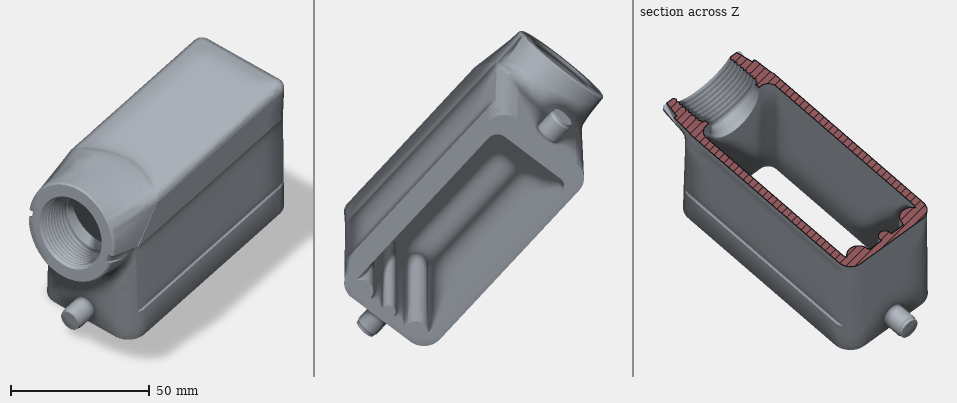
import cadquery as cq
import math

FOOT = (0.0, 43.0, 93.5, 7.5, 7.6)
WAIST = (46.3, 41.3, 91.9, 7.2, 5.8)
UPPER_BASE = (46.3, 41.3, 91.9, 3.6, 5.8)
ROOF = (62.5, 40.7, 91.5, 3.6, 3.6)
WAIST_HEIGHT, WAIST_WIDTH, WAIST_LENGTH = WAIST[:3]
BODY_HEIGHT, ROOF_WIDTH = ROOF[:2]
BODY_WIDTH, BODY_LENGTH = FOOT[1:3]
ROOF_FILLET = 2.9

RECESS_BOTTOM = 13.3
RECESS_LEDGE = 0.7
RECESS_TOP = WAIST_HEIGHT
RECESS_BOTTOM_HALF = 20.6
RECESS_TOP_HALF = 19.8

TILT = 15.0
COLLAR_RADIUS = 19.3
MOUTH_Y = -55.2
MOUTH_Z = 50.9
COLLAR_BACK = 25.5
LIP_CHAMFER = 0.6
BLEND_RADIUS = 5.8

SHOULDER_TOP_Y = -28.2
SHOULDER_BOTTOM_Y = -42.0
DOME_RISE = 1.4
DOME_RUN = 9.3
CORNER_START_ANGLE = 30.0
CORNER_END_ANGLE = 43.5

FLAT_FACE_HALF = 17.4
FLAT_START_HALF = 19.8
FLAT_FACE_HEIGHT = 3.4
FLAT_START_HEIGHT = 5.8

BORE_DIAMETER = 24.8
BORE_DEPTH = 31.3
THREAD_MINOR = 26.7
THREAD_MAJOR = 28.2
THREAD_PITCH = 1.6
THREAD_TURNS = 8
THREAD_LEAD_IN = 1.0
THREAD_DEPTH = 14.8

WALL = 3.5
FRONT_WALL = 7.5
CAVITY_HEIGHT = 55.1
CAVITY_RADIUS = 4.0
RIB_DIAMETER = 5.0
COLUMN_DIAMETER = 8.8
COLUMN_X = 13.0
POCKET_WIDTH = 16.4
POCKET_HEIGHT = 54.4
POCKET_DEPTH = 0.7

PIN_DIAMETER = 8.8
PIN_TIP_DIAMETER = 8.0
PIN_SPAN = 111.4
PIN_TIP_LENGTH = 0.9
PIN_CONE_LENGTH = 0.7
PIN_Z = 6.4

CLEARANCE = 1.2

tilt_sin = math.sin(math.radians(TILT))
tilt_cos = math.cos(math.radians(TILT))
mouth_plane = cq.Plane(
    origin=(0, MOUTH_Y, MOUTH_Z),
    xDir=(1, 0, 0),
    normal=(0, -tilt_cos, tilt_sin),
)

collar_section_plane = cq.Plane(
    origin=mouth_plane.origin.toTuple(),
    xDir=(1, 0, 0),
    normal=mouth_plane.yDir.multiply(-1).toTuple(),
)


def collar_point(angle):
    """Point on the rim of the collar mouth, angle measured up from +X."""
    x = COLLAR_RADIUS * math.cos(math.radians(angle))
    y = COLLAR_RADIUS * math.sin(math.radians(angle))
    return mouth_plane.toWorldCoords((x, y))


def shoulder_y(z):
    """Y of the slanted shoulder plane at a given height."""
    lean = (SHOULDER_TOP_Y - SHOULDER_BOTTOM_Y) / (BODY_HEIGHT - WAIST_HEIGHT)
    return SHOULDER_BOTTOM_Y + lean * (z - WAIST_HEIGHT)


def side_prism(points, half_width):
    """Prism with a (Y, Z) outline, running from -half_width to half_width in X."""
    return cq.Workplane("YZ").polyline(points).close().extrude(half_width, both=True)


def body_outline(height, width, length, front_radius, back_radius):
    """Edges of a rounded rectangle, in order around the body."""
    edges = []
    corners = [(1, 1, back_radius), (-1, 1, back_radius), (-1, -1, front_radius), (1, -1, front_radius)]
    for side, end, radius in corners:
        center = cq.Vector(side * (width / 2 - radius), end * (length / 2 - radius), height)
        on_side = center + cq.Vector(side * radius, 0, 0)
        on_end = center + cq.Vector(0, end * radius, 0)
        middle = center + cq.Vector(side, end, 0) * (radius * math.sqrt(0.5))
        first, last = (on_side, on_end) if side == end else (on_end, on_side)
        if edges:
            edges.append(cq.Edge.makeLine(edges[-1].endPoint(), first))
        edges.append(cq.Edge.makeThreePointArc(first, middle, last))
    edges.append(cq.Edge.makeLine(edges[-1].endPoint(), edges[0].startPoint()))
    return edges


def body_stage(lower_section, upper_section):
    """Tapered block between two body sections."""
    lower = body_outline(*lower_section)
    upper = body_outline(*upper_section)
    faces = [cq.Face.makeRuledSurface(low, high) for low, high in zip(lower, upper)]
    for outline in (lower, upper):
        faces.append(cq.Face.makeFromWires(cq.Wire.assembleEdges(outline)))
    return cq.Workplane(cq.Solid.makeSolid(cq.Shell.makeShell(faces)).fix())


def make_upper_body():
    """Body above the waist, its front end cleared for the collar shoulder."""
    upper = body_stage(UPPER_BASE, ROOF).faces(">Z").edges().fillet(ROOF_FILLET)
    above_roof_z = BODY_HEIGHT + CLEARANCE
    clear_y = -BODY_LENGTH
    outline = [
        (SHOULDER_BOTTOM_Y, WAIST_HEIGHT),
        (shoulder_y(above_roof_z), above_roof_z),
        (clear_y, above_roof_z),
        (clear_y, WAIST_HEIGHT),
    ]
    return upper.cut(side_prism(outline, BODY_WIDTH))


def cut_recesses(body):
    """Plane, slightly sloping recesses along both long sides."""
    outside = BODY_WIDTH
    ledge_foot = RECESS_BOTTOM - RECESS_LEDGE
    outline = [
        (RECESS_BOTTOM_HALF, RECESS_BOTTOM),
        (RECESS_BOTTOM_HALF + RECESS_LEDGE, ledge_foot),
        (outside, ledge_foot),
        (outside, RECESS_TOP),
        (RECESS_TOP_HALF, RECESS_TOP),
    ]
    recess = cq.Workplane("XZ").polyline(outline).close().extrude(BODY_LENGTH, both=True)
    return body.cut(recess).cut(recess.mirror("YZ"))


def make_lower_body():
    """Body below the waist with the lower half of the collar blended into its front wall."""
    tube = cq.Workplane(mouth_plane).circle(COLLAR_RADIUS).extrude(-COLLAR_BACK)
    upper_half = cq.Workplane(mouth_plane).center(0, COLLAR_RADIUS)
    upper_half = upper_half.rect(4 * COLLAR_RADIUS, 2 * COLLAR_RADIUS).extrude(-COLLAR_BACK)
    growth = BODY_HEIGHT / WAIST_HEIGHT
    extended_top = [low + (high - low) * growth for low, high in zip(FOOT, WAIST)]
    joined = body_stage(FOOT, extended_top).union(tube.cut(upper_half))
    front_zone = cq.selectors.BoxSelector(
        (-COLLAR_RADIUS, MOUTH_Y, RECESS_BOTTOM),
        (COLLAR_RADIUS, SHOULDER_BOTTOM_Y, WAIST_HEIGHT),
    )
    blended = joined.edges(front_zone).edges("%BSPLINE").fillet(BLEND_RADIUS)
    trim = [
        (BODY_LENGTH, WAIST_HEIGHT),
        (SHOULDER_BOTTOM_Y, WAIST_HEIGHT),
        (MOUTH_Y, MOUTH_Z),
        (MOUTH_Y, BODY_HEIGHT + CLEARANCE),
        (BODY_LENGTH, BODY_HEIGHT + CLEARANCE),
    ]
    return blended.cut(side_prism(trim, BODY_WIDTH))


def shoulder_outline(foot, low, mid, high, apex, foot_bulge=None):
    """Closed outline, symmetric in X, from its right-hand points; foot_bulge bows the sides."""
    right = [cq.Vector(*point) for point in (foot, low, mid, high)]
    left = [cq.Vector(-point.x, point.y, point.z) for point in right]
    if foot_bulge is None:
        right_side = cq.Edge.makeLine(right[0], right[1])
        left_side = cq.Edge.makeLine(left[1], left[0])
    else:
        bulge = cq.Vector(*foot_bulge)
        right_side = cq.Edge.makeThreePointArc(right[0], bulge, right[1])
        left_side = cq.Edge.makeThreePointArc(left[1], cq.Vector(-bulge.x, bulge.y, bulge.z), left[0])
    edges = [
        right_side,
        cq.Edge.makeThreePointArc(right[1], right[2], right[3]),
        cq.Edge.makeThreePointArc(right[3], cq.Vector(*apex), left[3]),
        cq.Edge.makeThreePointArc(left[3], left[2], left[1]),
        left_side,
        cq.Edge.makeLine(left[0], right[0]),
    ]
    return cq.Wire.assembleEdges(edges)


def make_shoulder():
    """Upper collar: from the domed body section, narrowing to a half circle at the mouth."""
    half = ROOF_WIDTH / 2
    roof_half = half - ROOF_FILLET
    corner_z = BODY_HEIGHT - ROOF_FILLET
    arc_reach = ROOF_FILLET * math.sqrt(0.5)
    arc_mid_z = corner_z + arc_reach
    apex_z = BODY_HEIGHT + DOME_RISE
    apex = cq.Vector(0, shoulder_y(apex_z), apex_z)
    start = shoulder_outline(
        (half, SHOULDER_BOTTOM_Y, WAIST_HEIGHT),
        (half, shoulder_y(corner_z), corner_z),
        (roof_half + arc_reach, shoulder_y(arc_mid_z), arc_mid_z),
        (roof_half, SHOULDER_TOP_Y, BODY_HEIGHT),
        apex.toTuple(),
    )
    corner_mid_angle = (CORNER_START_ANGLE + CORNER_END_ANGLE) / 2
    mouth_top = collar_point(90)
    mouth = shoulder_outline(
        collar_point(0).toTuple(),
        collar_point(CORNER_START_ANGLE).toTuple(),
        collar_point(corner_mid_angle).toTuple(),
        collar_point(CORNER_END_ANGLE).toTuple(),
        mouth_top.toTuple(),
        foot_bulge=collar_point(CORNER_START_ANGLE / 2).toTuple(),
    )
    shoulder = cq.Workplane(cq.Solid.makeLoft([start, mouth], True))

    crest_slope = (mouth_top.z - apex.z) / (mouth_top.y - apex.y)
    sweep = cq.Vector(0, DOME_RUN, crest_slope * DOME_RUN)
    dome = cq.Workplane(cq.Solid.extrudeLinear(start, [], sweep))
    return shoulder.union(dome)


def cut_side_flats(part):
    """Flats under the shoulders, closing in from the recesses to the mouth."""
    reach = MOUTH_Y - SHOULDER_BOTTOM_Y
    end_y = MOUTH_Y - 2 * CLEARANCE
    end_share = (end_y - SHOULDER_BOTTOM_Y) / reach

    def extend(start, at_mouth):
        return start + (at_mouth - start) * end_share

    outline = [
        (SHOULDER_BOTTOM_Y, WAIST_HEIGHT),
        (end_y, extend(WAIST_HEIGHT, MOUTH_Z)),
        (end_y, extend(WAIST_HEIGHT - FLAT_START_HEIGHT, MOUTH_Z - FLAT_FACE_HEIGHT)),
        (SHOULDER_BOTTOM_Y, WAIST_HEIGHT - FLAT_START_HEIGHT),
    ]
    outside = BODY_WIDTH
    plan = [
        (FLAT_START_HALF, SHOULDER_BOTTOM_Y),
        (outside, SHOULDER_BOTTOM_Y),
        (outside, end_y),
        (extend(FLAT_START_HALF, FLAT_FACE_HALF), end_y),
    ]
    wedge = cq.Workplane("XY").polyline(plan).close().extrude(BODY_HEIGHT)
    flat = wedge.intersect(side_prism(outline, outside))
    return part.cut(flat).cut(flat.mirror("YZ"))


def chamfer_lip(part):
    """Bevel the outer rim of the collar mouth."""
    outer = COLLAR_RADIUS + LIP_CHAMFER
    profile = [
        (COLLAR_RADIUS - LIP_CHAMFER, 0),
        (outer, 0),
        (outer, -2 * LIP_CHAMFER),
    ]
    ring = cq.Workplane(collar_section_plane).polyline(profile).close().revolve(360, (0, 0), (0, 1))
    return part.cut(ring)


def make_cavity():
    """Hollow inside, with a pocket, rib and two corner columns at the back wall."""
    inner_width = WAIST_WIDTH - 2 * WALL
    inner_length = WAIST_LENGTH - WALL - FRONT_WALL
    back_y = WAIST_LENGTH / 2 - WALL
    floor = cq.Workplane("XY").center(0, back_y - inner_length / 2).rect(inner_width, inner_length)
    cavity = floor.extrude(CAVITY_HEIGHT).edges("|Z").fillet(CAVITY_RADIUS)
    column_centers = [(-COLUMN_X, back_y), (COLUMN_X, back_y)]
    columns = cq.Workplane("XY").pushPoints(column_centers).circle(COLUMN_DIAMETER / 2)
    pocket_plan = cq.Workplane("XY").center(0, back_y).rect(POCKET_WIDTH, 2 * POCKET_DEPTH)
    pocket = pocket_plan.extrude(POCKET_HEIGHT)
    rib = cq.Workplane("XY").center(0, back_y).circle(RIB_DIAMETER / 2).extrude(CAVITY_HEIGHT)
    return cavity.cut(columns.extrude(CAVITY_HEIGHT)).union(pocket).cut(rib)


def make_bore():
    """Plain bore with a threaded mouth, the thread drawn as separate V grooves."""
    minor = THREAD_MINOR / 2
    major = THREAD_MAJOR / 2
    profile = [(0, 0), (major, 0), (minor, -THREAD_LEAD_IN)]
    for turn in range(THREAD_TURNS):
        top = -THREAD_LEAD_IN - turn * THREAD_PITCH
        profile.append((major, top - THREAD_PITCH / 2))
        profile.append((minor, top - THREAD_PITCH))
    profile += [
        (minor, -THREAD_DEPTH),
        (BORE_DIAMETER / 2, -THREAD_DEPTH),
        (BORE_DIAMETER / 2, -BORE_DEPTH),
        (0, -BORE_DEPTH),
    ]
    return cq.Workplane(collar_section_plane).polyline(profile).close().revolve(360, (0, 0), (0, 1))


def make_pin():
    """Stepped pin on the back wall, its root buried in the wall."""
    root_y = BODY_LENGTH / 2 - WALL
    tip_y = PIN_SPAN / 2
    step_y = tip_y - PIN_TIP_LENGTH
    profile = [
        (0, root_y),
        (PIN_DIAMETER / 2, root_y),
        (PIN_DIAMETER / 2, step_y - PIN_CONE_LENGTH),
        (PIN_TIP_DIAMETER / 2, step_y),
        (PIN_TIP_DIAMETER / 2, tip_y),
        (0, tip_y),
    ]
    pin = cq.Workplane("XY").polyline(profile).close().revolve(360, (0, 0), (0, 1))
    return pin.translate((0, 0, PIN_Z))


hood = make_lower_body().union(make_upper_body()).union(make_shoulder())
hood = cut_recesses(hood)
hood = cut_side_flats(hood)
hood = chamfer_lip(hood)
back_pin = make_pin()
hood = hood.union(back_pin).union(back_pin.mirror("XZ"))
result = hood.cut(make_cavity()).cut(make_bore())